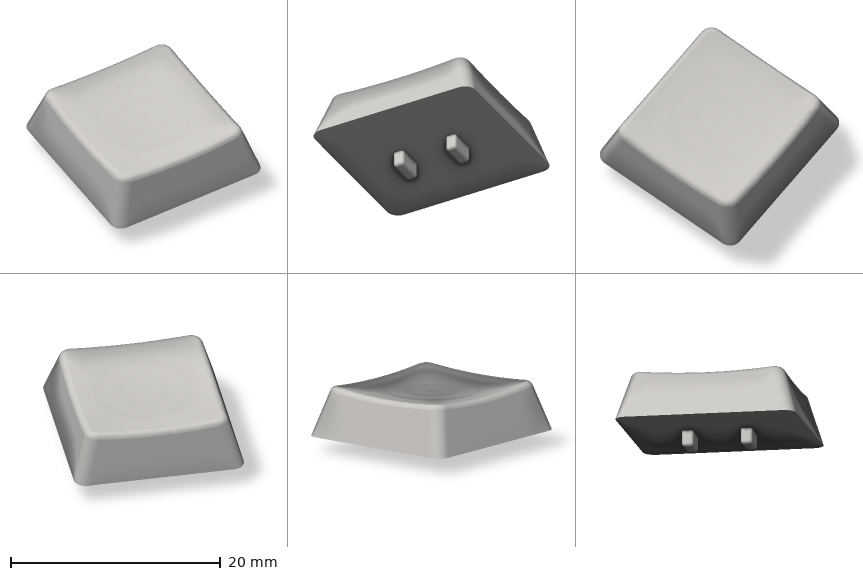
import cadquery as cq

BASE_LENGTH = 17.5
BASE_WIDTH = 16.5
BLANK_HEIGHT = 5.6
WALL_DRAFT = 16.5
CORNER_RADIUS = 1.22

DISH_RADIUS = 57.75
DISH_FLOOR_HEIGHT = 4.05
RIM_FILLET = 0.6

LEG_SPACING = 5.7
LEG_THICKNESS = 1.1
LEG_WIDTH = 2.9
LEG_LENGTH = 1.5
LEG_FILLET = 0.3


def make_body():
    """Tapered block with rounded corners and a dished, rounded top."""
    block = (
        cq.Workplane("XY")
        .rect(BASE_LENGTH, BASE_WIDTH)
        .extrude(BLANK_HEIGHT, taper=WALL_DRAFT)
        .edges("not(#Z)")
        .fillet(CORNER_RADIUS)
    )
    dish_center_height = DISH_FLOOR_HEIGHT + DISH_RADIUS
    dish = cq.Workplane("XY").sphere(DISH_RADIUS).translate((0, 0, dish_center_height))
    dished = block.cut(dish)
    return dished.faces("%SPHERE").edges().fillet(RIM_FILLET)


def make_legs():
    """Two rounded legs hanging from the underside."""
    return (
        cq.Workplane("XY")
        .rarray(LEG_SPACING, 0.18, 2, 1)
        .rect(LEG_THICKNESS, LEG_WIDTH)
        .extrude(-LEG_LENGTH)
        .edges("|Z or <Z")
        .fillet(LEG_FILLET)
    )


result = make_body().union(make_legs())